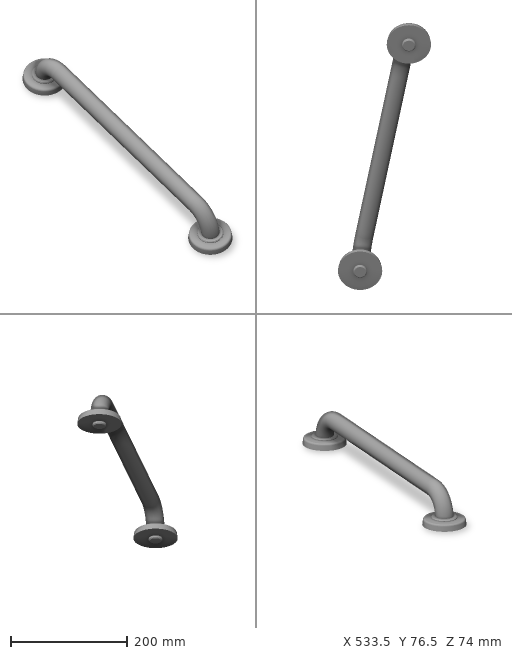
import cadquery as cq

overall_length = 533.5
overall_height = 74.0

bar_diameter = 31.5
bend_radius = 41.5

flange_diameter = 76.5
flange_height = 13.0
flange_taper = 1.5
rim_radius = 3.0
top_rise = 1.0

collar_diameter = 45.5
collar_height = 2.5
collar_chamfer = 1.5

plug_diameter = 23.5
plug_height = 5.0
plug_chamfer = 1.5

flange_radius = flange_diameter / 2
bar_radius = bar_diameter / 2
collar_radius = collar_diameter / 2
post_x = overall_length / 2 - flange_radius
flange_bottom = plug_height
flange_top = flange_bottom + flange_height
axis_z = overall_height - bar_radius
bend_z = axis_z - bend_radius
bend_x = post_x - bend_radius
post_positions = (-post_x, post_x)


def make_bar():
    """Solid round bar with a quarter bend down to each flange."""
    path = (
        cq.Workplane("XZ")
        .moveTo(-post_x, bend_z)
        .radiusArc((-bend_x, axis_z), bend_radius)
        .lineTo(bend_x, axis_z)
        .radiusArc((post_x, bend_z), bend_radius)
    )
    section = cq.Workplane("XY", origin=(-post_x, 0, bend_z)).circle(bar_radius)
    return section.sweep(path)


def make_flange(x):
    """Turned disc with a rounded upper rim and a shallow seat where the bar stands in it."""
    shoulder_radius = flange_radius - flange_taper
    shoulder_height = flange_height - top_rise
    shoulder_edge = cq.selectors.RadiusNthSelector(1)
    disc = (
        cq.Workplane("XZ", origin=(x, 0, flange_bottom))
        .lineTo(flange_radius, 0)
        .lineTo(shoulder_radius, shoulder_height)
        .lineTo(collar_radius, flange_height)
        .lineTo(0, flange_height)
        .close()
        .revolve()
        .edges(shoulder_edge)
        .fillet(rim_radius)
    )
    return disc.cut(bar)


def make_collar(x):
    """Ring resting on the flange, bored to fit the bar where it passes through."""
    ring = (
        cq.Workplane("XY", origin=(x, 0, flange_top))
        .circle(collar_radius)
        .extrude(collar_height)
        .faces(">Z")
        .edges()
        .chamfer(collar_chamfer)
    )
    return ring.cut(bar)


def make_plug(x):
    """Round plug under the flange with a chamfered lower edge."""
    return (
        cq.Workplane("XY", origin=(x, 0, 0))
        .circle(plug_diameter / 2)
        .extrude(plug_height)
        .faces("<Z")
        .edges()
        .chamfer(plug_chamfer)
    )


bar = make_bar()
flanges = [make_flange(x) for x in post_positions]
collars = [make_collar(x) for x in post_positions]
plugs = [make_plug(x) for x in post_positions]

bodies = [bar, *flanges, *collars, *plugs]
result = cq.Compound.makeCompound([body.solids().val() for body in bodies])